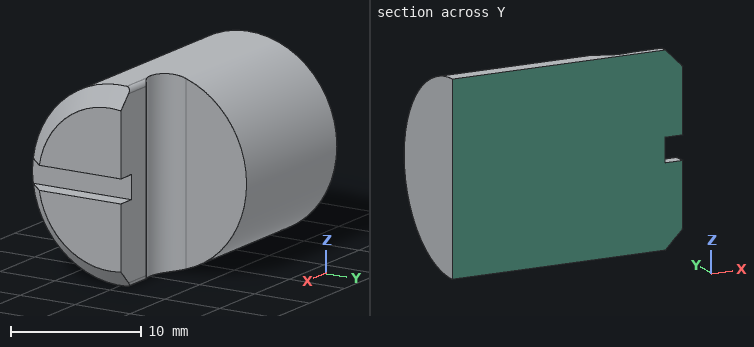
import cadquery as cq
import math

length = 20.0
radius = 8.0
end_chamfer = 1.5

notch_wall_x = 13.0
groove_radius = 2.0
groove_bottom_y = 0.5
ledge_y = 1.0
groove_center_x = notch_wall_x + groove_radius
groove_center_y = groove_bottom_y + groove_radius

ledge_edge_radius = 0.45

slot_width = 2.0
slot_depth = end_chamfer


def make_cylinder():
    return cq.Workplane("YZ").circle(radius).extrude(length)


def make_notch():
    opening = (
        cq.Workplane("XY")
        .moveTo(notch_wall_x, groove_center_y)
        .lineTo(notch_wall_x, radius)
        .lineTo(length, radius)
        .lineTo(length, ledge_y)
        .lineTo(groove_center_x, ledge_y)
        .lineTo(groove_center_x, groove_center_y)
        .close()
        .extrude(radius, both=True)
    )
    groove = (
        cq.Workplane("XY")
        .center(groove_center_x, groove_center_y)
        .circle(groove_radius)
        .extrude(radius, both=True)
    )
    return opening.union(groove)


def round_ledge_edges(body):
    ledge_middle_x = (groove_center_x + length) / 2
    ledge_edge_z = math.sqrt(radius**2 - ledge_y**2)
    for side in (-1, 1):
        edge_point = (ledge_middle_x, ledge_y, side * ledge_edge_z)
        nearest_edge = cq.selectors.NearestToPointSelector(edge_point)
        body = body.edges("|X").edges(nearest_edge).fillet(ledge_edge_radius)
    return body


def make_slot():
    return cq.Workplane("XY").box(
        slot_depth, 2 * radius, slot_width
    ).translate((length - slot_depth / 2, 0, 0))


notched_body = round_ledge_edges(make_cylinder().cut(make_notch()))
chamfered_envelope = make_cylinder().faces(">X").chamfer(end_chamfer)
result = notched_body.intersect(chamfered_envelope).cut(make_slot())